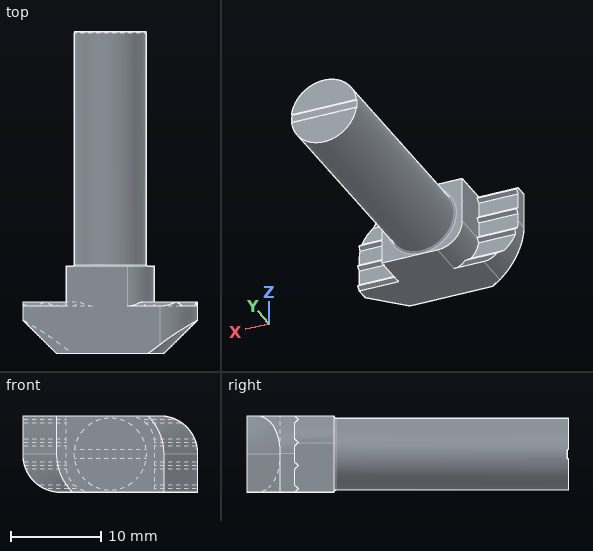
import cadquery as cq

thickness = 8.5
total_length = 35.7

head_length = 19.4
head_depth = 5.29
head_corner_radius = 4.2
bevel_width = 3.75
bevel_depth = 3.7

neck_width = 9.8
neck_end_y = 9.7
neck_corner_radius = 3.0

shank_diameter = 8.0
root_fillet_radius = 0.2

slot_width = 1.0
slot_depth = 0.15

tooth_count = 4
tooth_pitch = 2.56
tooth_height = 0.45
tooth_width = 0.8

half_length = head_length / 2
front_half_length = half_length - bevel_width


def rounded_block(width, length, corner_radius):
    """Block from y = 0 whose two diagonally opposite edges along Y are rounded."""
    block = cq.Workplane("XY").box(width, length, thickness, centered=(True, False, True))
    block = block.edges("|Y and >X and >Z").fillet(corner_radius)
    return block.edges("|Y and <X and <Z").fillet(corner_radius)


def tooth(z):
    """Triangular ridge along X, rooted on the back face of the head."""
    return (
        cq.Workplane("YZ", origin=(-half_length, 0, 0))
        .moveTo(head_depth, z - tooth_width / 2)
        .lineTo(head_depth + tooth_height, z)
        .lineTo(head_depth, z + tooth_width / 2)
        .close()
        .extrude(head_length)
    )


def flat_bevel(side):
    """Wedge that bevels the front of one head end (side = -1 or 1) across its thickness."""
    return (
        cq.Workplane("XY", origin=(0, 0, -thickness / 2))
        .moveTo(side * half_length, 0)
        .lineTo(side * front_half_length, 0)
        .lineTo(side * half_length, bevel_depth)
        .close()
        .extrude(thickness)
    )


def conical_bevel():
    """Ring around the bolt axis with the bevel's slope, kept in the two rounded quadrants."""
    ring = (
        cq.Workplane("XY")
        .moveTo(front_half_length, 0)
        .lineTo(half_length, bevel_depth)
        .lineTo(head_length, bevel_depth)
        .lineTo(head_length, 0)
        .close()
        .revolve(360, (0, 0, 0), (0, 1, 0))
    )
    quadrant = cq.Workplane("XY").box(half_length, bevel_depth, thickness / 2, centered=False)
    opposite = quadrant.rotate((0, 0, 0), (0, 1, 0), 180)
    return ring.intersect(quadrant.union(opposite))


def head():
    """Hammer head with two rounded corners, bevelled ends and a toothed back."""
    body = rounded_block(head_length, head_depth, head_corner_radius)
    first_tooth_z = -(tooth_count - 1) * tooth_pitch / 2
    for index in range(tooth_count):
        body = body.union(tooth(first_tooth_z + index * tooth_pitch))
    body = body.intersect(rounded_block(head_length, head_depth + tooth_height, head_corner_radius))
    for side in (-1, 1):
        body = body.cut(flat_bevel(side))
    return body.cut(conical_bevel())


def shank():
    """Round shank with a concave fillet at its root and a slot across its tip."""
    radius = shank_diameter / 2
    body = (
        cq.Workplane("XY")
        .moveTo(0, neck_end_y)
        .lineTo(radius + root_fillet_radius, neck_end_y)
        .radiusArc((radius, neck_end_y + root_fillet_radius), root_fillet_radius)
        .lineTo(radius, total_length)
        .lineTo(0, total_length)
        .close()
        .revolve(360, (0, 0, 0), (0, 1, 0))
    )
    slot = cq.Workplane("XY").box(shank_diameter, slot_depth, slot_width)
    return body.cut(slot.translate((0, total_length - slot_depth / 2, 0)))


neck = rounded_block(neck_width, neck_end_y, neck_corner_radius)
result = head().union(neck).union(shank())